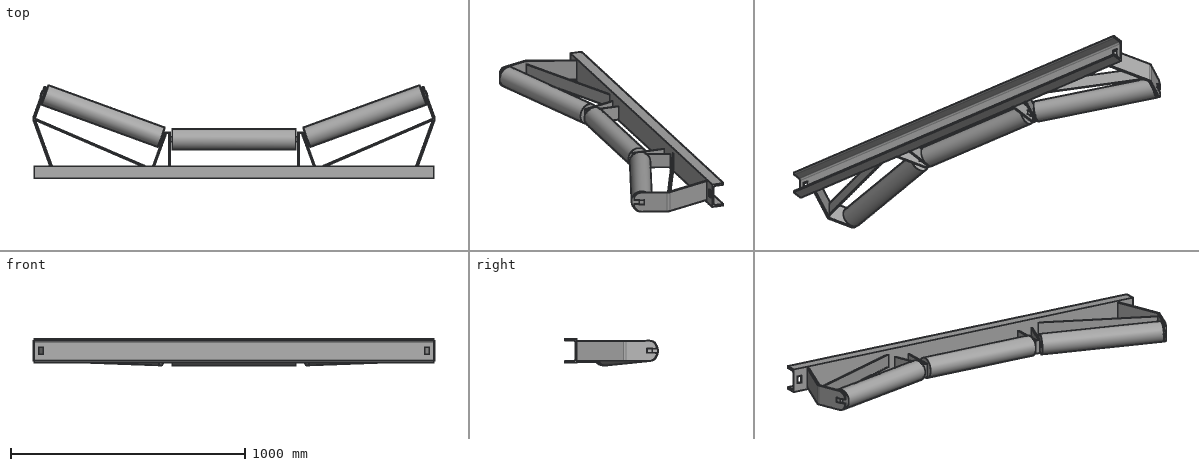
import cadquery as cq
import math


overall_length = 1715.0
channel_length = 1705.0
channel_height = 103.0
channel_depth = 51.0
web_thickness = 7.0
flange_thickness = 9.0
root_radius = 7.0
tip_radius = 3.0
mount_hole_width = 20.0
mount_hole_height = 31.0
mount_hole_x = 823.0

roller_diameter = 90.0
roller_length = 528.0
shaft_width = 19.0
shaft_thickness = 22.0
trough_angle = 20.0
forward_tilt = 2.0
center_axis_y = 115.0
wing_inner_x = 310.0
wing_inner_y = 123.0
roller_gap = 9.0

outer_width = 85.0
inner_width = 60.0
outer_thickness = 9.0
inner_thickness = 6.0
strut_thickness = 6.0
bend_radius = 17.0
bend_y = 202.0
outer_top_y = 340.0
inner_top_y = 145.0
corner_radius = 27.0
strut_width = 57.0
strut_foot_x = 385.0

trough = math.radians(trough_angle)
slope = math.tan(trough)
tilt = math.radians(forward_tilt)
roller_radius = roller_diameter / 2
axis_drop = roller_length * math.sin(tilt)
wing_run = roller_length / 2 * math.cos(tilt)
wing_x = -wing_inner_x - wing_run * math.cos(trough)
wing_y = wing_inner_y + wing_run * math.sin(trough)
wing_z = -axis_drop / 2
bend_x = -overall_length / 2 - bend_radius * (1 / math.cos(trough) - 1)


def place_wing(body):
    """Move a body from the X axis onto the left wing roller axis."""
    tilted = body.rotate((0, 0, 0), (0, 1, 0), forward_tilt)
    troughed = tilted.rotate((0, 0, 0), (0, 0, 1), -trough_angle)
    return troughed.translate((wing_x, wing_y, wing_z))


def place_center(body):
    """Move a body from the X axis onto the center roller axis."""
    return body.translate((0, center_axis_y, -axis_drop))


def mirrored_pair(body):
    """Return a left-hand body and its right-hand mirror image."""
    return [body, body.mirror("YZ")]


def make_shaft(left_plate, right_plate):
    """Flat-sided shaft reaching through the plates at both ends."""
    left_end = -roller_length / 2 - roller_gap - left_plate
    right_end = roller_length / 2 + roller_gap + right_plate
    shaft = cq.Workplane("XY").box(right_end - left_end, shaft_thickness, shaft_width)
    return shaft.translate(((left_end + right_end) / 2, 0, 0))


def make_roller(shaft):
    """Roller and its fixed shaft ends as one solid along the X axis."""
    left_face = cq.Workplane("YZ", origin=(-roller_length / 2, 0, 0))
    shell = left_face.circle(roller_radius).extrude(roller_length)
    return shell.union(shaft)


def plate(points, width):
    """Extrude an XY outline evenly about Z = 0."""
    return cq.Workplane("XY").polyline(points).close().extrude(width / 2, both=True)


def make_channel():
    """C-shaped cross channel, open toward -Y, with a mounting hole near each end."""
    half_height = channel_height / 2
    inner_z = half_height - flange_thickness
    outline = [
        (0, -half_height),
        (-channel_depth, -half_height),
        (-channel_depth, -inner_z),
        (-web_thickness, -inner_z),
        (-web_thickness, inner_z),
        (-channel_depth, inner_z),
        (-channel_depth, half_height),
        (0, half_height),
    ]
    body = cq.Workplane("YZ").polyline(outline).close().extrude(channel_length / 2, both=True)
    for sign in (-1, 1):
        root = cq.NearestToPointSelector((0, -web_thickness, sign * inner_z))
        body = body.edges("|X").edges(root).fillet(root_radius)
        tip = cq.NearestToPointSelector((0, -channel_depth, sign * inner_z))
        body = body.edges("|X").edges(tip).fillet(tip_radius)
    holes = (
        cq.Workplane("XZ")
        .pushPoints([(-mount_hole_x, 0), (mount_hole_x, 0)])
        .rect(mount_hole_width, mount_hole_height)
        .extrude(web_thickness)
    )
    return body.cut(holes)


def make_outer_bracket():
    """Bent plate standing on the channel and carrying the outer end of a wing roller."""
    across = outer_thickness / math.cos(trough)
    top_x = bend_x + (outer_top_y - bend_y) * slope
    foot_x = bend_x + bend_y * slope
    end_x = top_x + outer_thickness * math.cos(trough)
    end_y = outer_top_y - outer_thickness * math.sin(trough)
    outline = [
        (top_x, outer_top_y),
        (bend_x, bend_y),
        (foot_x, 0),
        (foot_x + across, 0),
        (bend_x + across, bend_y),
        (end_x, end_y),
    ]
    body = plate(outline, outer_width)
    outer_bend = cq.NearestToPointSelector((bend_x, bend_y, 0))
    body = body.edges("|Z").edges(outer_bend).fillet(bend_radius)
    inner_bend = cq.NearestToPointSelector((bend_x + across, bend_y, 0))
    body = body.edges("|Z").edges(inner_bend).fillet(bend_radius - outer_thickness)

    for sign in (-1, 1):
        corner = cq.NearestToPointSelector((top_x, outer_top_y, sign * outer_width / 2))
        body = body.faces(">Y").edges("not |Z").edges(corner).fillet(corner_radius)

    slot = cq.Workplane("XY").box(roller_diameter, roller_diameter, shaft_width)
    slot_x = -(roller_length + roller_diameter) / 2
    slot_y = (roller_diameter - shaft_thickness) / 2
    slot = slot.translate((slot_x, slot_y, 0))
    return body.cut(place_wing(slot))


def make_strut(outer_bracket):
    """Brace from the bend of the outer bracket down to the channel."""
    start_x = bend_x + outer_thickness / 2
    rise = bend_y / (-strut_foot_x - start_x)
    half_foot = strut_thickness / 2 / math.sin(math.atan(abs(rise)))
    half_start = half_foot * abs(rise)
    outline = [
        (-strut_foot_x - half_foot, 0),
        (-strut_foot_x + half_foot, 0),
        (start_x, bend_y + half_start),
        (start_x, bend_y - half_start),
    ]
    return plate(outline, strut_width).cut(outer_bracket)


def make_inner_bracket(wing_shaft, center_shaft):
    """Bent strap holding the inner end of a wing roller and one end of the center roller."""
    right_x = -roller_length / 2 - roller_gap
    across = inner_thickness / math.cos(trough)
    meet_x = -wing_inner_x + roller_gap * math.cos(trough)
    meet_y = wing_inner_y - roller_gap * math.sin(trough)
    foot_x = meet_x - meet_y * slope
    top_x = foot_x + inner_top_y * slope
    under_y = inner_top_y - inner_thickness
    outline = [
        (foot_x, 0),
        (top_x, inner_top_y),
        (right_x, inner_top_y),
        (right_x, 0),
        (right_x - inner_thickness, 0),
        (right_x - inner_thickness, under_y),
        (foot_x + across + under_y * slope, under_y),
        (foot_x + across, 0),
    ]
    body = plate(outline, inner_width).translate((0, 0, -axis_drop))
    return body.cut(wing_shaft).cut(center_shaft)


wing_shaft = make_shaft(outer_thickness, inner_thickness)
center_shaft = make_shaft(inner_thickness, inner_thickness)

channel = make_channel()
center_roller = place_center(make_roller(center_shaft))
wing_roller = place_wing(make_roller(wing_shaft))
outer_bracket = make_outer_bracket()
strut = make_strut(outer_bracket)
inner_bracket = make_inner_bracket(place_wing(wing_shaft), place_center(center_shaft))

bodies = [channel, center_roller]
for left_body in (wing_roller, outer_bracket, strut, inner_bracket):
    bodies += mirrored_pair(left_body)

result = cq.Compound.makeCompound([body.val() for body in bodies])